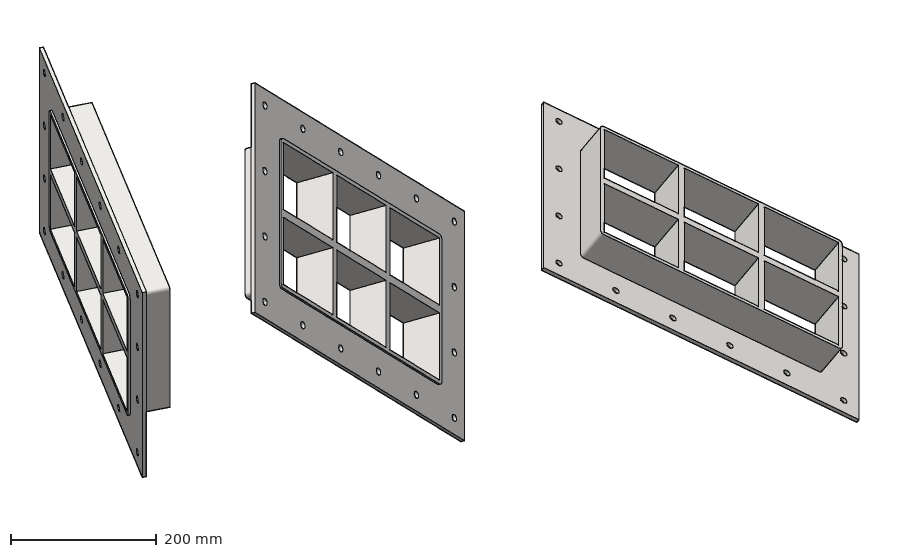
import cadquery as cq

plate_width = 513.5
plate_height = 346.0
plate_thickness = 6.0

flange_margin = 60.0
frame_width = plate_width - 2 * flange_margin
frame_height = plate_height - 2 * flange_margin
frame_depth = 60.0
frame_front_projection = 3.0
frame_corner_radius = 6.0
frame_wall = 6.0

window_columns = 3
window_rows = 2
upright_bar_thickness = 10.0
level_bar_thickness = 12.0
window_width = (frame_width - 2 * frame_wall - (window_columns - 1) * upright_bar_thickness) / window_columns
window_height = (frame_height - 2 * frame_wall - (window_rows - 1) * level_bar_thickness) / window_rows

hole_diameter = 10.0
hole_edge_distance = 25.0
holes_along_width = 6
holes_along_height = 4
hole_pitch_x = (plate_width - 2 * hole_edge_distance) / (holes_along_width - 1)
hole_pitch_z = (plate_height - 2 * hole_edge_distance) / (holes_along_height - 1)


def block(width, height, front_y, depth):
    """Box centred on X and Z that runs from front_y toward +Y."""
    return cq.Workplane("XY").box(width, depth, height).translate((0, front_y + depth / 2, 0))


def centred_positions(count, pitch):
    """Evenly spaced positions, symmetric about zero."""
    return [(i - (count - 1) / 2) * pitch for i in range(count)]


def mounting_hole_points():
    """Hole centres on the perimeter of a rectangular array."""
    columns = centred_positions(holes_along_width, hole_pitch_x)
    rows = centred_positions(holes_along_height, hole_pitch_z)
    return [
        (x, z)
        for x in columns
        for z in rows
        if x in (columns[0], columns[-1]) or z in (rows[0], rows[-1])
    ]


def make_plate():
    plate = block(plate_width, plate_height, 0, plate_thickness)
    holes = (
        cq.Workplane("XZ")
        .pushPoints(mounting_hole_points())
        .circle(hole_diameter / 2)
        .extrude(-plate_thickness)
    )
    return plate.cut(holes)


def make_frame():
    frame = block(frame_width, frame_height, -frame_front_projection, frame_depth)
    return frame.edges("|Y").fillet(frame_corner_radius)


def make_windows():
    """Cutters for the sharp-cornered openings through the frame."""
    return (
        cq.Workplane("XZ", origin=(0, -frame_front_projection, 0))
        .rarray(
            window_width + upright_bar_thickness,
            window_height + level_bar_thickness,
            window_columns,
            window_rows,
        )
        .rect(window_width, window_height)
        .extrude(-frame_depth)
    )


result = make_plate().union(make_frame()).cut(make_windows())